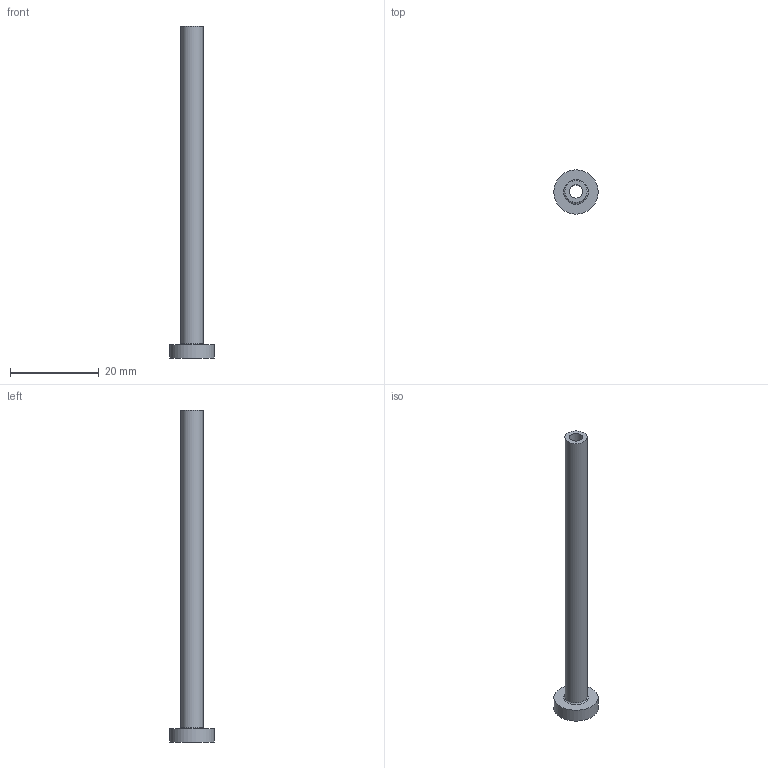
import cadquery as cq

total_length = 75.0
head_diameter = 10.0
head_thickness = 3.0
shank_diameter = 5.0
bore_diameter = 3.0
root_fillet_radius = 0.3

shank_radius = shank_diameter / 2
head_radius = head_diameter / 2
fillet_start_radius = shank_radius + root_fillet_radius
fillet_end_height = head_thickness + root_fillet_radius


def make_sleeve_body():
    """Headed pin revolved about Z, with a small fillet where the shank meets the head."""
    half_profile = (
        cq.Workplane("XZ")
        .lineTo(head_radius, 0)
        .lineTo(head_radius, head_thickness)
        .lineTo(fillet_start_radius, head_thickness)
        .radiusArc((shank_radius, fillet_end_height), root_fillet_radius)
        .lineTo(shank_radius, total_length)
        .lineTo(0, total_length)
        .close()
    )
    return half_profile.revolve(360, (0, 0, 0), (0, 1, 0))


def make_bore():
    """Straight bore running the full length of the axis."""
    return cq.Workplane("XY").circle(bore_diameter / 2).extrude(total_length)


result = make_sleeve_body().cut(make_bore())